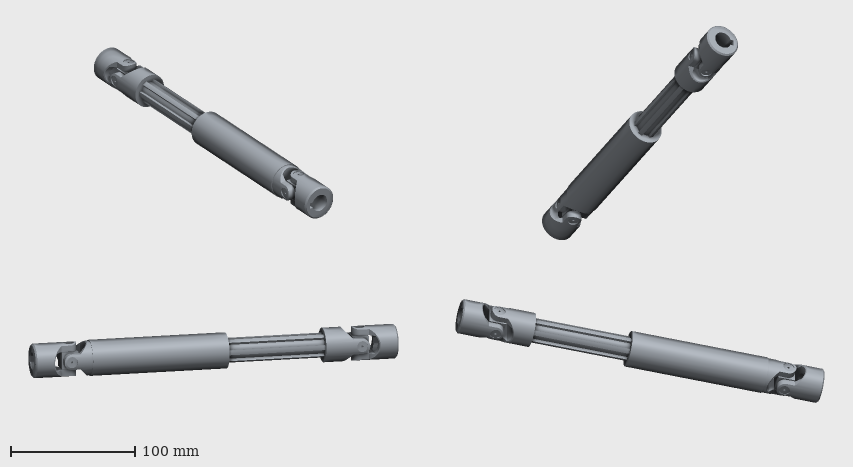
import cadquery as cq
import math

LENGTH = 300.0
MID_X = LENGTH / 2
PIVOT_OFFSET = 30.0

YOKE_DIA = 28.0
EAR_HALF_WIDTH = 6.3
SLOT_HALF_WIDTH = 7.5
SLOT_BOTTOM_RADIUS = 12.0
SLOT_DEPTH = 14.0
NECK_REACH = 7.2
END_CHAMFER = 1.2

BORE_DIA = 14.0
KEYWAY_WIDTH = 4.8
KEYWAY_REACH = 9.3

PIN_DIA = 9.0
PIN_REACH = 13.0
BLOCK_SIZE = 13.8
CENTRE_HOLE_DIA = 1.8
CENTRE_HOLE_DEPTH = 1.8

SLEEVE_DIA = 29.0
SLEEVE_START_X = 140.0
SLEEVE_END_X = 253.0
SHAFT_START_X = 2 * PIVOT_OFFSET
SHAFT_END_X = 240.0
SPLINE_COUNT = 6
SPLINE_TIP_DIA = 20.0
SPLINE_ROOT_DIA = 16.0
SPLINE_WIDTH = 4.0


def x_cylinder(diameter, start_x, end_x):
    """Cylinder on the X axis between two positions."""
    return cq.Workplane("YZ").workplane(offset=start_x).circle(diameter / 2).extrude(end_x - start_x)


def ear_slot():
    """Gap between the two ears, right through along Y, with a bottom rounded about a Y axis."""
    radius = YOKE_DIA / 2
    arc_centre_x = SLOT_BOTTOM_RADIUS - SLOT_DEPTH
    arc_end_x = arc_centre_x - math.sqrt(SLOT_BOTTOM_RADIUS**2 - SLOT_HALF_WIDTH**2)
    return (
        cq.Workplane("XZ")
        .moveTo(arc_end_x, SLOT_HALF_WIDTH)
        .threePointArc((-SLOT_DEPTH, 0), (arc_end_x, -SLOT_HALF_WIDTH))
        .lineTo(radius, -SLOT_HALF_WIDTH)
        .lineTo(radius, SLOT_HALF_WIDTH)
        .close()
        .extrude(radius, both=True)
    )


def fork(body):
    """Cut ears on a round body on the -X side of a joint centred at the origin.

    The ears lie at +Z and -Z, and their pin holes run along Z.
    """
    radius = YOKE_DIA / 2
    shoulder_rise = radius - EAR_HALF_WIDTH
    shoulder_x = -NECK_REACH - shoulder_rise
    side_cut = (
        cq.Workplane("XY")
        .moveTo(shoulder_x, radius)
        .lineTo(-NECK_REACH, EAR_HALF_WIDTH)
        .lineTo(0, EAR_HALF_WIDTH)
        .radiusArc((EAR_HALF_WIDTH, 0), EAR_HALF_WIDTH)
        .lineTo(radius, 0)
        .lineTo(radius, radius)
        .close()
        .extrude(radius, both=True)
    )
    pin_hole = cq.Workplane("XY").circle(PIN_DIA / 2).extrude(radius, both=True)
    return body.cut(side_cut).cut(side_cut.mirror("XZ")).cut(ear_slot()).cut(pin_hole)


def end_yoke():
    """Left end yoke in place: round body with keyed bore and ears at +Z and -Z."""
    body = x_cylinder(YOKE_DIA, -PIVOT_OFFSET, EAR_HALF_WIDTH).faces("<X").chamfer(END_CHAMFER)
    body = fork(body)
    bore = x_cylinder(BORE_DIA, -PIVOT_OFFSET, 0)
    keyway = (
        cq.Workplane("XY")
        .box(PIVOT_OFFSET, KEYWAY_REACH, KEYWAY_WIDTH, centered=(False, False, True))
        .translate((-PIVOT_OFFSET, -KEYWAY_REACH, 0))
    )
    return body.cut(bore).cut(keyway).translate((PIVOT_OFFSET, 0, 0))


def cross():
    """Left cross in place: cubic block with four pins, each with a small centre hole."""
    block = cq.Workplane("XY").box(BLOCK_SIZE, BLOCK_SIZE, BLOCK_SIZE)
    for plane in ("XY", "XZ"):
        pins = cq.Workplane(plane).circle(PIN_DIA / 2).extrude(PIN_REACH, both=True)
        block = block.union(pins)
    for face in ("<Y", ">Y", "<Z", ">Z"):
        pin_end = block.faces(face).workplane(centerOption="CenterOfMass")
        block = pin_end.hole(CENTRE_HOLE_DIA, CENTRE_HOLE_DEPTH)
    return block.translate((PIVOT_OFFSET, 0, 0))


def inner_yoke(root_x):
    """Yoke with ears at +Y and -Y on the right joint, running back to root_x."""
    pivot_x = LENGTH - PIVOT_OFFSET
    body = fork(x_cylinder(YOKE_DIA, root_x - pivot_x, EAR_HALF_WIDTH))
    return body.rotate((0, 0, 0), (1, 0, 0), 90).translate((pivot_x, 0, 0))


def spline(start_x, end_x):
    """Splined bar on the X axis with one tooth pointing along Y."""
    bar = x_cylinder(SPLINE_ROOT_DIA, start_x, end_x)
    envelope = x_cylinder(SPLINE_TIP_DIA, start_x, end_x)
    tooth_pair = (
        cq.Workplane("XY")
        .box(end_x - start_x, SPLINE_TIP_DIA, SPLINE_WIDTH, centered=(False, True, True))
        .translate((start_x, 0, 0))
        .intersect(envelope)
    )
    for index in range(SPLINE_COUNT // 2):
        bar = bar.union(tooth_pair.rotate((0, 0, 0), (1, 0, 0), index * 360 / SPLINE_COUNT))
    return bar


def to_other_end(body):
    """Mirror image of a body about the middle of the assembly."""
    return body.mirror("YZ", (MID_X, 0, 0))


def splined_shaft():
    """Inner yoke of the left joint with the splined bar that slides in the sleeve."""
    yoke = to_other_end(inner_yoke(LENGTH - SHAFT_START_X))
    return yoke.union(spline(SHAFT_START_X, SHAFT_END_X))


def sleeve():
    """Tube with a blind splined socket and the inner yoke of the right joint."""
    tube = x_cylinder(SLEEVE_DIA, SLEEVE_START_X, SLEEVE_END_X)
    body = inner_yoke(SLEEVE_END_X).union(tube)
    return body.cut(spline(SLEEVE_START_X, SHAFT_END_X))


end_yokes = [end_yoke(), to_other_end(end_yoke())]
crosses = [cross(), to_other_end(cross())]

result = cq.Compound.makeCompound(
    [body.val() for body in (splined_shaft(), sleeve(), *end_yokes, *crosses)]
)